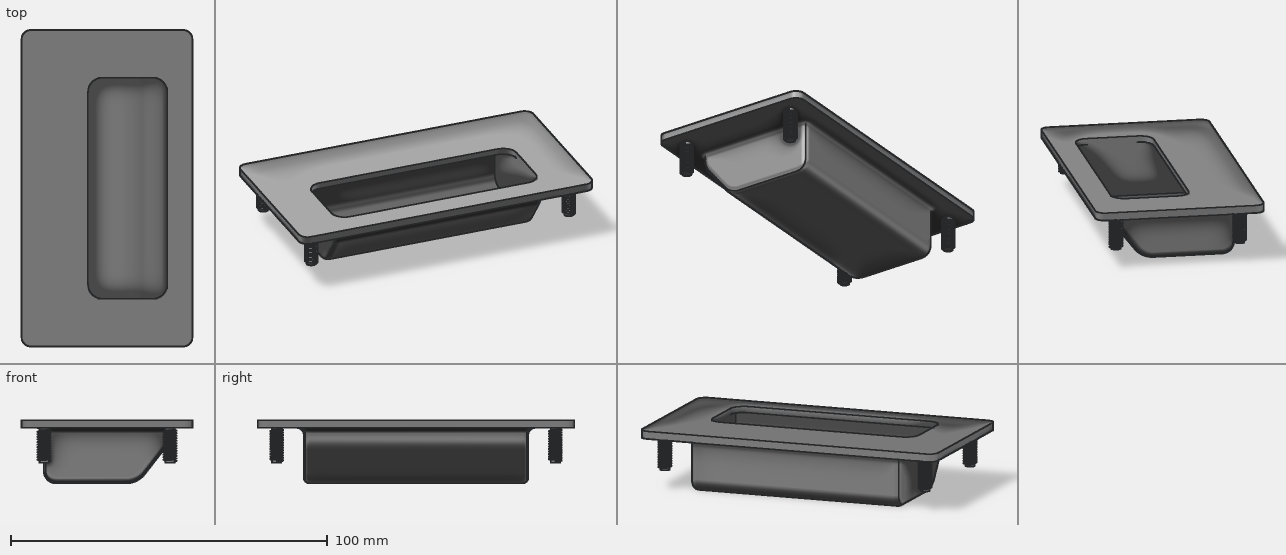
import cadquery as cq
import math

plate_x = 54.0
plate_y = 100.0
plate_corner_radius = 3.0
total_height = 20.0
plate_thickness = 2.0
flange_thickness = 0.5
plate_bottom = total_height - plate_thickness
flange_bottom = plate_bottom - flange_thickness

opening_left = -6.0
opening_right = 19.0
opening_y = 69.8
opening_radius = 4.5

pan_wall = 0.6
pan_left = -20.0
pan_right = 19.55
pan_y = opening_y + 2 * pan_wall
slope_angle = math.radians(52)
slope_foot_x = 9.65
heel_radius = 4.0
slope_radius = 7.5
shoulder_radius = 7.0
pan_edge_radius = 2.0
flange_fillet = 2.0
margin = 0.1

stud_x = 19.85
stud_y = 44.0
stud_length = 11.0
thread_diameter = 4.2
root_diameter = 3.0
thread_pitch = 0.8
thread_base = 0.76
thread_end_gap = 0.2
thread_sink = 0.1


def plate_slab(bottom, thickness):
    slab = cq.Workplane("XY").workplane(offset=bottom).rect(plate_x, plate_y).extrude(thickness)
    return slab.edges("|Z").fillet(plate_corner_radius)


def pan_block(inset):
    """Pan shape moved inward by inset, with rounded profile and sharp end faces."""
    left = pan_left + inset
    right = pan_right - inset
    foot_x = slope_foot_x - inset * math.tan(slope_angle / 2)
    slope_top = inset + (right - foot_x) * math.tan(slope_angle)
    half_length = pan_y / 2 - inset
    profile = [
        (left, plate_bottom),
        (left, inset),
        (foot_x, inset),
        (right, slope_top),
        (right, plate_bottom),
    ]
    block = cq.Workplane("XZ").polyline(profile).close().extrude(half_length, both=True)
    heel = cq.NearestToPointSelector((left, 0, inset))
    foot = cq.NearestToPointSelector((foot_x, 0, inset))
    shoulder = cq.NearestToPointSelector((right, 0, slope_top))
    block = block.edges("|Y").edges(heel).fillet(heel_radius - inset)
    block = block.edges("|Y").edges(foot).fillet(slope_radius - inset)
    return block.edges("|Y").edges(shoulder).fillet(shoulder_radius - inset)


def pan_outside():
    """Solid pan with rounded end edges, flaring into the flange."""
    block = pan_block(0)
    end_edges = block.faces("<Y or >Y").edges("not(>Z)")
    block = end_edges.fillet(pan_edge_radius)
    body = plate_slab(flange_bottom, flange_thickness).union(block)
    joint = cq.selectors.BoxSelector(
        (pan_left - margin, -pan_y / 2 - margin, flange_bottom - margin),
        (pan_right + margin, pan_y / 2 + margin, flange_bottom + margin),
    )
    return body.edges(joint).fillet(flange_fillet)


def plate_opening():
    opening = (
        cq.Workplane("XY")
        .workplane(offset=plate_bottom)
        .center((opening_left + opening_right) / 2, 0)
        .rect(opening_right - opening_left, opening_y)
        .extrude(plate_thickness)
    )
    return opening.edges("|Z").fillet(opening_radius)


def stud():
    """Stud with a helical thread, standing on Z = 0; the thread is sunk a little into the core."""
    core = cq.Workplane("XY").circle(root_diameter / 2).extrude(stud_length)
    buried_radius = root_diameter / 2 - thread_sink
    base_half = thread_base / 2
    helix_height = stud_length - 2 * (thread_end_gap + base_half)
    helix = cq.Wire.makeHelix(thread_pitch, helix_height, buried_radius)
    tooth = (
        cq.Workplane("XZ")
        .moveTo(buried_radius, -base_half)
        .lineTo(thread_diameter / 2, 0)
        .lineTo(buried_radius, base_half)
        .close()
    )
    thread = tooth.sweep(cq.Workplane(helix), isFrenet=True)
    return core.union(thread.translate((0, 0, thread_end_gap + base_half)))


plate = plate_slab(plate_bottom, plate_thickness).cut(plate_opening())
pan = pan_outside().cut(pan_block(pan_wall))
result = plate.union(pan, clean=False)
one_stud = stud()
for x in (-stud_x, stud_x):
    for y in (-stud_y, stud_y):
        result = result.union(one_stud.translate((x, y, flange_bottom - stud_length)), clean=False)